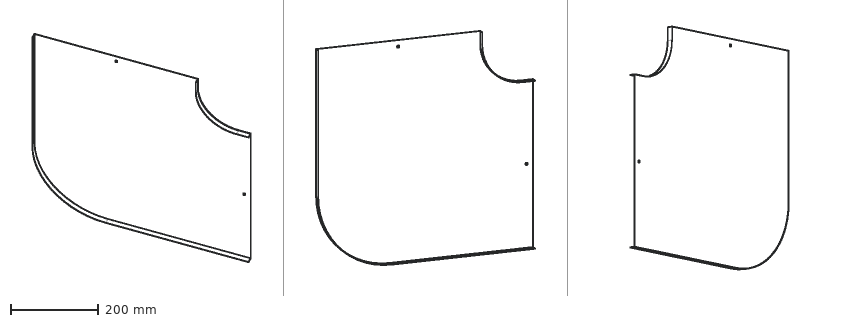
import cadquery as cq

side = 531.0
depth = 14.0
sheet = 0.8

outer_radius = 180.0
notch_size = 129.0
notch_radius = 98.0

hole_diameter = 5.0
hole_inset = 16.0

free_edge = side - notch_size
hole_along = free_edge / 2
hole_across = side - hole_inset


def rounded_square(offset):
    """Plan of the square with a rounded lower-left corner, moved inward on its flanged sides."""
    length = side - offset
    return (
        cq.Workplane("XZ")
        .rect(length, length)
        .extrude(-depth)
        .translate((offset + length / 2, 0, offset + length / 2))
        .edges("|Y and <X and <Z")
        .fillet(outer_radius - offset)
    )


def notch(offset):
    """Corner block removed by the notch, grown toward the plate by the offset."""
    length = notch_size + offset
    return (
        cq.Workplane("XZ")
        .rect(length, length)
        .extrude(-depth)
        .translate((side - length / 2, 0, side - length / 2))
        .edges("|Y and <X and <Z")
        .fillet(notch_radius + offset)
    )


blank = rounded_square(0).cut(notch(0))
interior = rounded_square(sheet).cut(notch(sheet))
tray = blank.cut(interior.translate((0, -sheet, 0)))

holes = (
    cq.Workplane("XZ")
    .pushPoints([(hole_along, hole_across), (hole_across, hole_along)])
    .circle(hole_diameter / 2)
    .extrude(-depth)
)

result = tray.cut(holes)